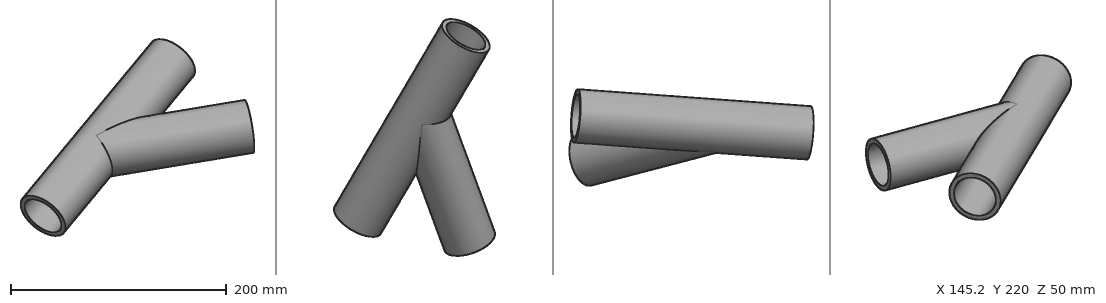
import cadquery as cq

outer_diameter = 50.0
bore_diameter = 40.7

main_length = 220.0
junction_from_end = 90.0
branch_length = 145.0
branch_angle = 45.0


def rod_along_y(diameter, length):
    """Solid cylinder from the origin along +Y."""
    return cq.Workplane("XZ").circle(diameter / 2).extrude(-length)


def main_rod(diameter):
    """Main pipe cylinder, placed so that the junction is at the origin."""
    return rod_along_y(diameter, main_length).translate((0, -junction_from_end, 0))


def branch_rod(diameter):
    """Branch cylinder, starting on the main axis and leaning towards +X."""
    return rod_along_y(diameter, branch_length).rotate((0, 0, 0), (0, 0, 1), -branch_angle)


body = main_rod(outer_diameter).union(branch_rod(outer_diameter))
result = body.cut(main_rod(bore_diameter)).cut(branch_rod(bore_diameter))